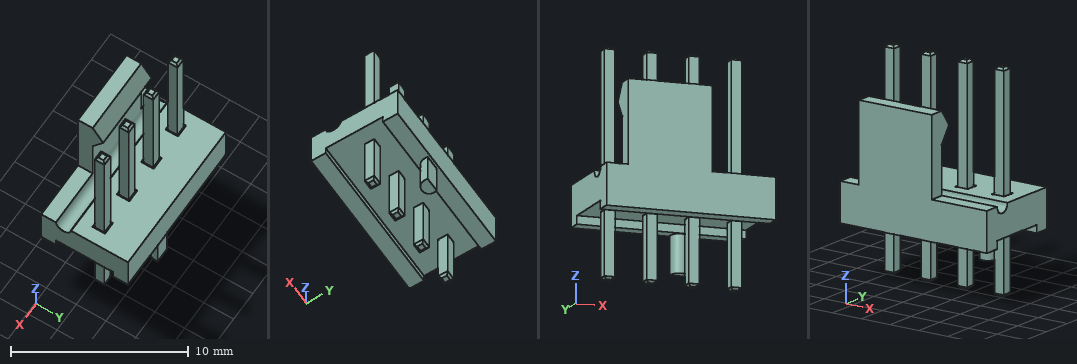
import cadquery as cq

pin_count = 4
pin_pitch = 2.54
pin_width = 0.65
pin_length = 13.5
pin_tail = 3.5
pin_tip_chamfer = 0.15
pin_hole_chamfer = 0.1

housing_length = 10.2
housing_depth = 5.85
housing_height = 2.5
housing_back = pin_pitch
leg_thickness = 1.0
leg_height = 0.5

latch_pitches = 2
latch_thickness = leg_thickness
latch_height = 5.0
barb_reach = 0.7
barb_half_height = 1.0

groove_radius = 0.5

peg_pin = 2
peg_radius = 0.49
peg_length = 2.3
peg_back_inset = 0.16
peg_straight = 0.22

back_y = housing_back
front_y = back_y - housing_depth
latch_inner_y = front_y + latch_thickness
latch_top = housing_height + latch_height
pin_xs = [(i - (pin_count - 1) / 2) * pin_pitch for i in range(pin_count)]


def extrude_along_x(outline, start_x, length):
    """Extrude a closed (Y, Z) outline in +X from start_x."""
    return cq.Workplane("YZ", origin=(start_x, 0, 0)).polyline(outline).close().extrude(length)


def make_housing():
    """Base block with a leg along the front and rear edges and a round groove behind the latch."""
    start_x = -housing_length / 2
    outline = [
        (front_y, 0),
        (front_y + leg_thickness, 0),
        (front_y + leg_thickness, leg_height),
        (back_y - leg_thickness, leg_height),
        (back_y - leg_thickness, 0),
        (back_y, 0),
        (back_y, housing_height),
        (front_y, housing_height),
    ]
    block = extrude_along_x(outline, start_x, housing_length)
    groove = (
        cq.Workplane("YZ", origin=(start_x, latch_inner_y + groove_radius, housing_height))
        .circle(groove_radius)
        .extrude(housing_length)
    )
    return block.cut(groove)


def make_latch():
    """Upright wall on the front edge with a pointed barb facing the pins."""
    outline = [
        (front_y, housing_height),
        (latch_inner_y, housing_height),
        (latch_inner_y, latch_top - 2 * barb_half_height),
        (latch_inner_y + barb_reach, latch_top - barb_half_height),
        (latch_inner_y, latch_top),
        (front_y, latch_top),
    ]
    return extrude_along_x(outline, pin_xs[0], latch_pitches * pin_pitch)


def make_peg():
    """Locating peg under the rear leg: flat at the rear, half round toward the pins."""
    flat_y = back_y - peg_back_inset
    round_y = flat_y - peg_straight
    return (
        cq.Workplane("XY", origin=(pin_xs[peg_pin], 0, 0))
        .moveTo(-peg_radius, flat_y)
        .lineTo(-peg_radius, round_y)
        .threePointArc((0, round_y - peg_radius), (peg_radius, round_y))
        .lineTo(peg_radius, flat_y)
        .close()
        .extrude(-peg_length)
    )


def make_pin(x):
    """Square pin with both ends chamfered."""
    return (
        cq.Workplane("XY", origin=(x, 0, -pin_tail))
        .rect(pin_width, pin_width)
        .extrude(pin_length)
        .faces("<Z or >Z")
        .chamfer(pin_tip_chamfer)
    )


def make_pin_hole_bevel(x):
    """Inverted pyramid that bevels the pin hole at the housing top."""
    mouth_width = pin_width + 2 * pin_hole_chamfer
    return (
        cq.Workplane("XY", origin=(x, 0, housing_height))
        .rect(mouth_width, mouth_width)
        .workplane(offset=-pin_hole_chamfer)
        .rect(pin_width, pin_width)
        .loft(ruled=True)
    )


result = make_housing().union(make_latch()).union(make_peg())
for pin_x in pin_xs:
    result = result.cut(make_pin_hole_bevel(pin_x)).union(make_pin(pin_x))